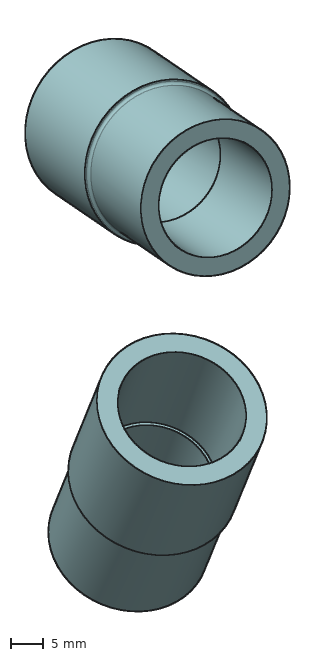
import cadquery as cq

total_length = 41.0
body_length = 22.0
body_diameter = 26.5
neck_diameter = 25.0
shoulder_fillet = 0.5

socket_diameter = 20.0
socket_depth = body_length
bore_diameter = 19.0


def rod(diameter, length):
    """Solid cylinder on the X axis, starting at the body end face."""
    return cq.Workplane("YZ").circle(diameter / 2).extrude(length)


def outer_shape():
    """Body and neck as one revolved half profile, in (x, radius) coordinates."""
    body_radius = body_diameter / 2
    neck_radius = neck_diameter / 2
    profile = (
        cq.Workplane("XY")
        .lineTo(0, body_radius)
        .lineTo(body_length, body_radius)
        .lineTo(body_length, neck_radius + shoulder_fillet)
        .radiusArc((body_length + shoulder_fillet, neck_radius), -shoulder_fillet)
        .lineTo(total_length, neck_radius)
        .lineTo(total_length, 0)
        .close()
    )
    return profile.revolve(360, (0, 0, 0), (1, 0, 0))


socket = rod(socket_diameter, socket_depth)
bore = rod(bore_diameter, total_length)
result = outer_shape().cut(socket).cut(bore)